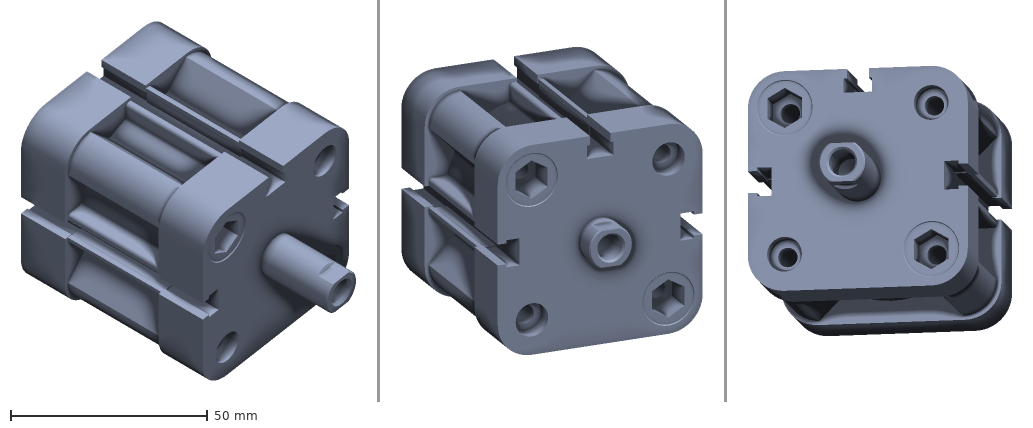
import cadquery as cq
import math


rod_length = 90.0
rod_protrusion_left = 6.8
cap_length = 14.85
barrel_length = 31.4
housing_length = 2 * cap_length + barrel_length

housing_width = 57.0
bolt_spacing = 38.0
bolt_offset = bolt_spacing / 2
cap_half = housing_width / 2
cap_corner_radius = cap_half - bolt_offset

barrel_inset = 1.1
barrel_half = cap_half - barrel_inset
barrel_corner_radius = 8.8
barrel_core_radius = 22.9
web_width = 12.4
web_fillet = 1.1
rail_width = 9.9
rail_tip_radius = 1.0
rail_base_fillet = 0.8

slot_depth = 6.1
slot_lip_depth = 2.4
cap_slot_neck = 5.7
cap_slot_inside = 7.4
barrel_slot_neck = 6.0
barrel_slot_inside = 6.7
slot_angles = (0, 90, 180)

bolt_hole_diameter = 5.0
counterbore_diameter = 9.0
counterbore_depth = 4.5
recess_rim_diameter = 14.5
recess_floor_diameter = 14.0
recess_depth = 0.3
hex_across_flats = 9.0
hex_depth = 8.1
socket_places = [(bolt_offset, bolt_offset), (-bolt_offset, -bolt_offset)]
counterbore_places = [(bolt_offset, -bolt_offset), (-bolt_offset, bolt_offset)]

rod_diameter = 12.0
rod_chamfer = 0.4
flats_width = 10.0
flat_length = 4.95
flat_runout = 0.5
rod_bore_diameter = 6.8
rod_bore_chamfer = 0.5
rod_bore_depth = 13.5
drill_point_angle = 118.0


def section_at(x):
    """Workplane across the rod axis at x: local x is Y, local y is Z, extruding toward +X."""
    return cq.Workplane("YZ", origin=(x, 0, 0))


def t_slot(start, length, neck, inside):
    """T-slot cutter in the +Y side."""
    floor = cap_half - slot_depth
    lip = cap_half - slot_lip_depth
    neck_cut = section_at(start).center((floor + cap_half) / 2, 0).rect(slot_depth, neck).extrude(length)
    inside_cut = section_at(start).center((floor + lip) / 2, 0).rect(lip - floor, inside).extrude(length)
    return neck_cut.union(inside_cut)


def cut_slots(body, start, length, neck, inside):
    slot = t_slot(start, length, neck, inside)
    for angle in slot_angles:
        body = body.cut(slot.rotate((0, 0, 0), (1, 0, 0), angle))
    return body


def cut_passages(body, start, length):
    """Cut the rod hole and the four bolt holes through a body."""
    rod_hole = section_at(start).circle(rod_diameter / 2).extrude(length)
    bolt_holes = section_at(start).pushPoints(socket_places + counterbore_places)
    return body.cut(rod_hole).cut(bolt_holes.circle(bolt_hole_diameter / 2).extrude(length))


def cap_face_cuts():
    """Counterbores, hexagon sockets and their shallow recesses in the outer face of a cap at X = 0."""
    counterbores = section_at(0).pushPoints(counterbore_places)
    cuts = counterbores.circle(counterbore_diameter / 2).extrude(counterbore_depth)

    hex_corner_diameter = hex_across_flats / math.cos(math.pi / 6)
    socket = section_at(0).polygon(6, hex_corner_diameter).extrude(hex_depth)
    socket = socket.rotate((0, 0, 0), (1, 0, 0), 90)
    recess = section_at(0).circle(recess_rim_diameter / 2).workplane(offset=recess_depth)
    recess = recess.circle(recess_floor_diameter / 2).loft()
    for y, z in socket_places:
        cuts = cuts.union(socket.union(recess).translate((0, y, z)))
    return cuts


def make_cap():
    """Left end cap, with its outer face at X = 0."""
    cap = section_at(0).rect(housing_width, housing_width).extrude(cap_length)
    cap = cap.edges("|X").fillet(cap_corner_radius)
    cap = cut_slots(cap, 0, cap_length, cap_slot_neck, cap_slot_inside)
    return cut_passages(cap, 0, cap_length).cut(cap_face_cuts())


def fillet_core_edges(barrel, angles, half_width, radius, x):
    """Round the lengthwise edges where bars at the given angles meet the round core."""
    half_angle = math.asin(half_width / barrel_core_radius)
    for bar_angle in angles:
        for side in (-1, 1):
            angle = math.radians(bar_angle) + side * half_angle
            y = barrel_core_radius * math.cos(angle)
            z = barrel_core_radius * math.sin(angle)
            barrel = barrel.edges(cq.selectors.NearestToPointSelector((x, y, z))).fillet(radius)
    return barrel


def make_rail(start):
    """Bar that carries the slot in the +Y side, with rounded outer edges."""
    rail = section_at(start).center(barrel_half / 2, 0).rect(barrel_half, rail_width).extrude(barrel_length)
    return rail.edges("|X and >Y").fillet(rail_tip_radius)


def make_barrel(start):
    barrel = section_at(start).circle(barrel_core_radius).extrude(barrel_length)
    square = section_at(start).rect(2 * barrel_half, 2 * barrel_half).extrude(barrel_length)
    square = square.edges("|X").fillet(barrel_corner_radius)
    for angle in (45, 135):
        web = section_at(start).rect(2 * housing_width, web_width).extrude(barrel_length)
        barrel = barrel.union(square.intersect(web.rotate((0, 0, 0), (1, 0, 0), angle)))
    rail = make_rail(start)
    for angle in slot_angles:
        barrel = barrel.union(rail.rotate((0, 0, 0), (1, 0, 0), angle))

    middle = start + barrel_length / 2
    barrel = fillet_core_edges(barrel, (45, 135, 225, 315), web_width / 2, web_fillet, middle)
    barrel = fillet_core_edges(barrel, slot_angles, rail_width / 2, rail_base_fillet, middle)
    barrel = cut_slots(barrel, start, barrel_length, barrel_slot_neck, barrel_slot_inside)
    return cut_passages(barrel, start, barrel_length)


def rod_flat_cut():
    """Cutter above the flat at the left end, with a sloping end wall."""
    bottom = flats_width / 2
    top = rod_diameter / 2
    return (
        cq.Workplane("XZ")
        .polyline([(0, bottom), (flat_length, bottom), (flat_length + flat_runout, top), (0, top)])
        .close()
        .extrude(rod_diameter / 2, both=True)
    )


def rod_bore_cut():
    """Drilled hole in the left end, with a countersunk mouth and a conical bottom."""
    radius = rod_bore_diameter / 2
    point_length = radius / math.tan(math.radians(drill_point_angle / 2))
    return (
        cq.Workplane("XZ")
        .moveTo(0, 0)
        .lineTo(0, radius + rod_bore_chamfer)
        .lineTo(rod_bore_chamfer, radius)
        .lineTo(rod_bore_depth, radius)
        .lineTo(rod_bore_depth + point_length, 0)
        .close()
        .revolve(360, (0, 0, 0), (1, 0, 0))
    )


def make_rod():
    rod = section_at(0).circle(rod_diameter / 2).extrude(rod_length)
    rod = rod.faces("<X or >X").chamfer(rod_chamfer)
    upper_flat = rod_flat_cut()
    end_cut = upper_flat.union(upper_flat.mirror("XY")).union(rod_bore_cut())
    return rod.cut(end_cut).cut(end_cut.mirror("YZ").translate((rod_length, 0, 0)))


cap_shape = make_cap()
half_turn_about_z = ((0, 0, 0), (0, 0, 1), 180)
housing_end = rod_protrusion_left + housing_length
caps = [
    cap_shape.translate((rod_protrusion_left, 0, 0)),
    cap_shape.rotate(*half_turn_about_z).translate((housing_end, 0, 0)),
]
barrel = make_barrel(rod_protrusion_left + cap_length)
rod = make_rod()

result = cq.Compound.makeCompound([*[cap.val() for cap in caps], barrel.val(), rod.val()])